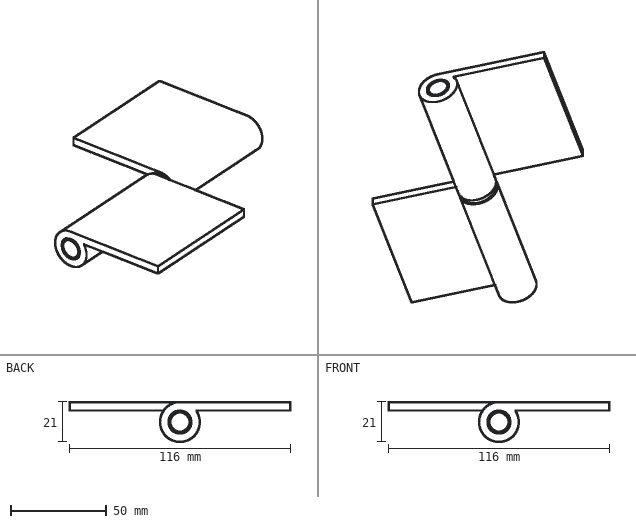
import cadquery as cq

total_length = 151.0
collar_length = 3.0
leaf_length = (total_length - collar_length) / 2
leaf_reach = 58.0
leaf_thickness = 4.5
knuckle_radius = 10.5
collar_radius = 9.7
bore_radius = 6.0
pin_clearance = 0.5
pin_radius = bore_radius - pin_clearance
pin_chamfer = 0.5


def cylinder_along_y(radius, length, start_y):
    """Solid cylinder on the hinge axis, from start_y towards +Y."""
    return (
        cq.Workplane("XZ", origin=(0, start_y, 0))
        .circle(radius)
        .extrude(-length)
    )


def make_leaf(side, start_y):
    """Flat plate tangent to the top of its knuckle; side is +1 for +X, -1 for -X."""
    knuckle = cylinder_along_y(knuckle_radius, leaf_length, start_y)
    plate = cq.Workplane("XY").box(
        leaf_reach, leaf_length, leaf_thickness, centered=(True, False, False)
    ).translate((side * leaf_reach / 2, start_y, knuckle_radius - leaf_thickness))
    bore = cylinder_along_y(bore_radius, leaf_length, start_y)
    return knuckle.union(plate).cut(bore)


def make_pin():
    """Pin with chamfered ends and a central collar that spaces the leaves apart."""
    shaft = cylinder_along_y(pin_radius, total_length, -total_length / 2)
    shaft = shaft.faces("<Y or >Y").chamfer(pin_chamfer)
    collar = cylinder_along_y(collar_radius, collar_length, -collar_length / 2)
    return shaft.union(collar)


front_leaf = make_leaf(side=1, start_y=-total_length / 2)
rear_leaf = make_leaf(side=-1, start_y=collar_length / 2)
pin = make_pin()

result = cq.Compound.makeCompound([front_leaf.val(), rear_leaf.val(), pin.val()])